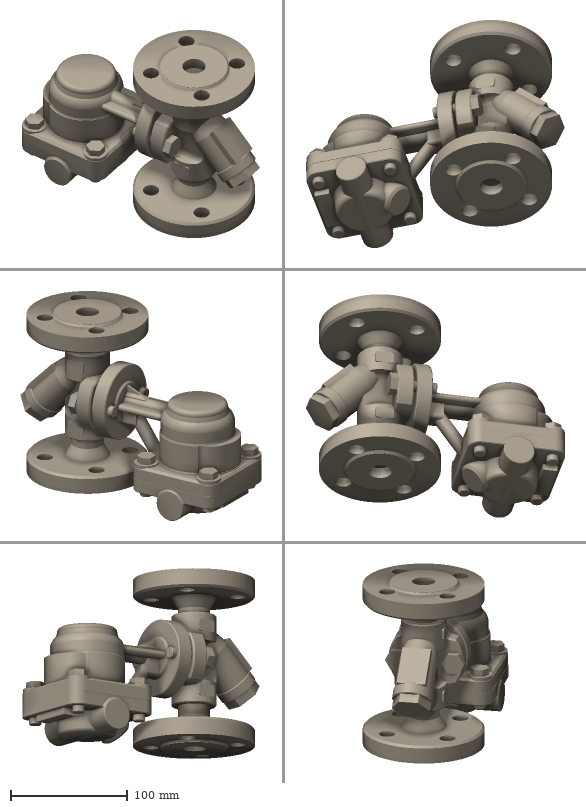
import cadquery as cq
import math


OVERALL_LENGTH = 219.12

FACE_TO_FACE = 150.0
PIPE_FLANGE_DIA = 105.0
PIPE_FLANGE_THICK = 18.0
RAISED_FACE_DIA = 58.0
RAISED_FACE_FOOT_DIA = 61.5
RAISED_FACE_HEIGHT = 2.3
RAISED_FACE_LIP = 0.3
FLANGE_CHAMFER = 2.0
FLANGE_HOLE_DIA = 14.0
FLANGE_HOLE_CIRCLE = 75.0
NECK_FOOT_DIA = 39.0
NECK_HEIGHT = 10.0
PIPE_DIA = 27.2
BORE_DIA = 20.0
BORE_DEPTH = 10.0

BODY_DIA = 39.0
BODY_TOP = 41.7
BODY_BOTTOM = -37.8
BODY_CHAMFER = 1.0
WAIST_TOP = 17.5
WAIST_BOTTOM = -17.7
WAIST_HALF_WIDTH = 10.3
WAIST_FILLET = 6.0
FLAT_WIDTH = 16.0
FLAT_HEIGHT = 10.4
FLAT_CORNER = 2.0
FLAT_CENTERS = (30.1, -26.8)

STRAINER_AXIS_Z = 29.3
PLUG_ACROSS_FLATS = 29.0
PLUG_HEIGHT = 8.0
RING_DIA = 35.0
RING_LENGTH = 9.5
RING_CHAMFER = 0.6
BRANCH_ROOT_DIA = 28.0
BRANCH_DIA = 33.0
BRANCH_LENGTH = 61.0
BRANCH_TAPER_LENGTH = 11.0
PAD_START = 17.0
PAD_LENGTH = 34.0
PAD_TOP = 16.6
PAD_HALF_WIDTH = 12.5

SIDE_FLANGE_DIA = 67.0
SIDE_FLANGE_LEFT = -39.5
SIDE_FLANGE_THICK = 13.4
SIDE_FLANGE_CHAMFER = 0.7
SPACER_DIA = 35.0
OVAL_LEFT = -23.5
OVAL_RIGHT = -9.0
OVAL_DIA = 66.0
OVAL_APEX = 23.0
OVAL_APEX_HALF_WIDTH = 13.0
OVAL_SHOULDER = 20.0
OVAL_CHAMFER = 1.2
SIDE_BOLT_OFFSET = 25.0
SIDE_BOLT_DIA = 10.0
SIDE_BOLT_LEFT = -44.2
SIDE_BOLT_ACROSS_FLATS = 17.0
SIDE_BOLT_HEAD = 6.5

HUB_FLARE_DIA = 38.0
HUB_LENGTH = 2.0
ARM_DIA = 15.0
WING_HALF_WIDTH = 16.5
WING_THICK = 6.0
WING_END = -42.0
RIB_LEFT = -62.0
RIB_TOP = 16.0
RIB_FOOT_THICK = 7.4
RIB_CREST_THICK = 2.4
RIB_FLARE_TOP = 10.0
BLOCK_LEFT = -54.8
BLOCK_TOP = -1.0
BLOCK_BOTTOM = -17.7
BLOCK_HALF_WIDTH = 8.0
BLOCK_CORNER = 3.0
DRAIN_DIA = 12.2
DRAIN_TOP = (-47.0, -5.3)
DRAIN_BOTTOM = (-77.0, -48.0)

TRAP_X = -113.0
COVER_SIZE = 85.5
COVER_TOP = -36.7
COVER_SPLIT = -49.0
COVER_BOTTOM = -60.6
COVER_EDGE = 2.0
BASE_EDGE = 0.7
BASE_SHIFT_Y = 0.4
BOLT_SPACING = 64.0
SEAT_DIA = 21.0
SEAT_TOP = -35.2
COVER_BOLT_ACROSS_FLATS = 14.0
COVER_BOLT_HEAD = 6.0
COVER_BOLT_DIA = 10.5
COVER_BOLT_END = -66.3
COVER_BOLT_CHAMFER = 0.6
DRUM_RADIUS = 33.5
DRUM_TOP = -11.0
DRUM_SHIFT_X = -0.9
DRUM_FOOT = 1.2
LOBE_FOOT_HEIGHT = 0.6
LOBE_REACH = 38.9
LOBE_ARC_END = (-33.5, 17.1)
LOBE_FLANK_END = (-21.0, 25.4)
LOBE_DRUM_POINT = (-18.6, 28.4)
LOBE_FLANK_RADIUS = 20.0
LOBE_BLEND_RADIUS = 3.0
LOBE_ROOT_X = -10.0
DOME_RADIUS = 32.0
DOME_FLARE_HEIGHT = 1.6
DOME_SHOULDER_Z = 0.3
DOME_SHOULDER_MID = (30.5, 4.8)
DOME_NECK = (27.3, 8.3)
CAP_FOOT_Z = 12.3
DOME_TOP = 17.2
CAP_RADIUS = 26.0
CAP_FILLET = 4.0

BOWL_TOP_RADIUS = 26.8
BOWL_BOTTOM_RADIUS = 24.0
BOWL_BOTTOM = -78.3
BOWL_FILLET = 4.0
LEDGE_LEFT = -152.0
LEDGE_RIGHT = -139.0
LEDGE_HALF_WIDTH = 20.0
LEDGE_BOTTOM = -66.3
STUB_DIA = 27.0
STUB_FLARE = 1.3
STUB_CHAMFER = 0.6
STUB_Z = -65.3
STUB_HALF_LENGTH = 44.5
PORT_FACE_DIA = 24.0
PORT_CENTER = (-81.2, -72.585)
PORT_LENGTH = 18.0
PORT_CHAMFER = 2.2


def disc_x(dia, x_start, x_end):
    """Cylinder along the side flange axis."""
    return cq.Workplane("YZ", origin=(x_start, 0, 0)).circle(dia / 2).extrude(x_end - x_start)


def hexagon_diameter(size):
    """Corner-to-corner diameter of a hexagon of the given width across flats."""
    return size / math.cos(math.pi / 6)


def inclined_plane(x, z):
    """Plane facing 45 degrees down towards +X; its local x axis is Y."""
    return cq.Workplane(cq.Plane(origin=(x, 0, z), xDir=(0, 1, 0), normal=(1, 0, -1)))


def pipe_flange():
    """Upper flange with welding neck, raised face, bolt holes and bore."""
    end = FACE_TO_FACE / 2
    back = end - PIPE_FLANGE_THICK
    front = end - RAISED_FACE_HEIGHT
    radius = PIPE_FLANGE_DIA / 2
    profile = (
        cq.Workplane("XZ")
        .moveTo(0, BODY_TOP - BODY_CHAMFER)
        .lineTo(PIPE_DIA / 2, BODY_TOP - BODY_CHAMFER)
        .lineTo(PIPE_DIA / 2, back - NECK_HEIGHT)
        .lineTo(NECK_FOOT_DIA / 2, back)
        .lineTo(radius - FLANGE_CHAMFER, back)
        .lineTo(radius, back + FLANGE_CHAMFER)
        .lineTo(radius, front)
        .lineTo(RAISED_FACE_FOOT_DIA / 2, front)
        .lineTo(RAISED_FACE_DIA / 2, end - RAISED_FACE_LIP)
        .lineTo(RAISED_FACE_DIA / 2, end)
        .lineTo(0, end)
        .close()
    )
    flange = profile.revolve(360, (0, 0, 0), (0, 1, 0))
    hole_pitch = FLANGE_HOLE_CIRCLE / math.sqrt(2)
    holes = (
        cq.Workplane(origin=(0, 0, back))
        .rect(hole_pitch, hole_pitch, forConstruction=True)
        .vertices()
        .circle(FLANGE_HOLE_DIA / 2)
        .extrude(PIPE_FLANGE_THICK)
    )
    bore = cq.Workplane(origin=(0, 0, end)).circle(BORE_DIA / 2).extrude(-BORE_DEPTH)
    return flange.cut(holes).cut(bore)


def lower_pipe_flange():
    """Mirrored flange, with a longer pipe up to the body."""
    flange = pipe_flange().mirror("XY")
    pipe_length = FACE_TO_FACE / 2 - PIPE_FLANGE_THICK + BODY_BOTTOM
    pipe = cq.Workplane(origin=(0, 0, BODY_BOTTOM - pipe_length + NECK_HEIGHT))
    pipe = pipe.circle(PIPE_DIA / 2).extrude(pipe_length)
    return flange.union(pipe)


def valve_body():
    """Round body with a flat-sided waist and raised flat pads on both collars."""
    body = cq.Workplane(origin=(0, 0, BODY_BOTTOM)).circle(BODY_DIA / 2)
    body = body.extrude(BODY_TOP - BODY_BOTTOM).edges().chamfer(BODY_CHAMFER)
    depth = BODY_DIA / 2 - WAIST_HALF_WIDTH
    waist_z = (WAIST_TOP + WAIST_BOTTOM) / 2
    for side in (1, -1):
        waist_cut = cq.Workplane(origin=(0, side * (WAIST_HALF_WIDTH + depth / 2), waist_z))
        waist_cut = waist_cut.box(BODY_DIA, depth, WAIST_TOP - WAIST_BOTTOM)
        inner_face = "<Y" if side > 0 else ">Y"
        waist_cut = waist_cut.faces(inner_face).edges("|X").fillet(WAIST_FILLET)
        body = body.cut(waist_cut)
        for z in FLAT_CENTERS:
            flat = (
                cq.Workplane("XZ", origin=(0, side * BODY_DIA / 2, z))
                .rect(FLAT_WIDTH, FLAT_HEIGHT)
                .extrude(side * BODY_DIA / 2)
                .edges("|Y")
                .fillet(FLAT_CORNER)
            )
            body = body.union(flat)
    return body


def strainer():
    """Tapered branch with a flat-sided pad, a ring and a hexagon plug."""
    tip_x = TRAP_X - COVER_SIZE / 2 + OVERALL_LENGTH - PLUG_ACROSS_FLATS / 2 * math.sqrt(0.5)
    plane = inclined_plane(tip_x, STRAINER_AXIS_Z - tip_x)
    plug = plane.polygon(6, hexagon_diameter(PLUG_ACROSS_FLATS))
    plug = plug.extrude(-PLUG_HEIGHT - RING_LENGTH)
    ring = plane.workplane(offset=-PLUG_HEIGHT).circle(RING_DIA / 2).extrude(-RING_LENGTH)
    ring = ring.edges().chamfer(RING_CHAMFER)
    branch = (
        plane.workplane(offset=-BRANCH_LENGTH)
        .circle(BRANCH_ROOT_DIA / 2)
        .workplane(offset=BRANCH_TAPER_LENGTH)
        .circle(BRANCH_DIA / 2)
        .loft()
    )
    barrel_length = BRANCH_LENGTH - BRANCH_TAPER_LENGTH - PLUG_HEIGHT
    barrel = plane.workplane(offset=-PLUG_HEIGHT).circle(BRANCH_DIA / 2).extrude(-barrel_length)
    pad = (
        plane.workplane(offset=-PAD_START)
        .center(0, PAD_TOP / 2)
        .rect(2 * PAD_HALF_WIDTH, PAD_TOP)
        .extrude(-PAD_LENGTH)
    )
    return branch.union(barrel).union(pad).union(ring).union(plug)


def oval_flange():
    """Round flange trimmed above and below to a shallow roof shape."""
    radius = OVAL_DIA / 2
    shoulder_y = math.sqrt(radius**2 - OVAL_SHOULDER**2)
    return (
        cq.Workplane("YZ", origin=(OVAL_LEFT, 0, 0))
        .moveTo(-OVAL_APEX_HALF_WIDTH, OVAL_APEX)
        .lineTo(OVAL_APEX_HALF_WIDTH, OVAL_APEX)
        .lineTo(shoulder_y, OVAL_SHOULDER)
        .threePointArc((radius, 0), (shoulder_y, -OVAL_SHOULDER))
        .lineTo(OVAL_APEX_HALF_WIDTH, -OVAL_APEX)
        .lineTo(-OVAL_APEX_HALF_WIDTH, -OVAL_APEX)
        .lineTo(-shoulder_y, -OVAL_SHOULDER)
        .threePointArc((-radius, 0), (-shoulder_y, OVAL_SHOULDER))
        .close()
        .extrude(OVAL_RIGHT - OVAL_LEFT)
        .faces("<X or >X")
        .edges()
        .chamfer(OVAL_CHAMFER)
    )


def side_joint():
    """Two side flanges, the spacer between them and their two bolts."""
    flange = disc_x(SIDE_FLANGE_DIA, SIDE_FLANGE_LEFT, SIDE_FLANGE_LEFT + SIDE_FLANGE_THICK)
    flange = flange.edges().chamfer(SIDE_FLANGE_CHAMFER)
    joint = flange.union(disc_x(SPACER_DIA, SIDE_FLANGE_LEFT, OVAL_RIGHT)).union(oval_flange())
    for y in (-SIDE_BOLT_OFFSET, SIDE_BOLT_OFFSET):
        shank = disc_x(SIDE_BOLT_DIA, SIDE_BOLT_LEFT, OVAL_RIGHT)
        shank = shank.faces("<X").edges().chamfer(SIDE_FLANGE_CHAMFER).translate((0, y, 0))
        head = (
            cq.Workplane("YZ", origin=(OVAL_RIGHT, y, 0))
            .polygon(6, hexagon_diameter(SIDE_BOLT_ACROSS_FLATS))
            .extrude(SIDE_BOLT_HEAD)
        )
        joint = joint.union(shank).union(head)
    return joint


def arm():
    """Tube with side wings, top rib, lower block and slanted drain tube."""
    hub = (
        cq.Workplane("YZ", origin=(SIDE_FLANGE_LEFT - HUB_LENGTH, 0, 0))
        .circle(SPACER_DIA / 2)
        .workplane(offset=HUB_LENGTH)
        .circle(HUB_FLARE_DIA / 2)
        .loft()
    )
    tube = disc_x(ARM_DIA, TRAP_X, SIDE_FLANGE_LEFT)
    wing = (
        cq.Workplane("YZ", origin=(TRAP_X, 0, 0))
        .slot2D(2 * WING_HALF_WIDTH, WING_THICK)
        .extrude(WING_END - TRAP_X)
    )
    rib = (
        cq.Workplane("XZ", origin=(0, RIB_FOOT_THICK / 2, 0))
        .moveTo(RIB_LEFT, 0)
        .lineTo(RIB_LEFT, ARM_DIA / 2)
        .lineTo(SIDE_FLANGE_LEFT - HUB_LENGTH, RIB_TOP)
        .lineTo(SIDE_FLANGE_LEFT, RIB_TOP)
        .lineTo(SIDE_FLANGE_LEFT, 0)
        .close()
        .extrude(RIB_FOOT_THICK)
    )
    rib_section = (
        cq.Workplane("YZ", origin=(RIB_LEFT, 0, 0))
        .moveTo(-RIB_FOOT_THICK / 2, 0)
        .lineTo(-RIB_FOOT_THICK / 2, ARM_DIA / 2)
        .lineTo(-RIB_CREST_THICK / 2, RIB_FLARE_TOP)
        .lineTo(-RIB_CREST_THICK / 2, RIB_TOP)
        .lineTo(RIB_CREST_THICK / 2, RIB_TOP)
        .lineTo(RIB_CREST_THICK / 2, RIB_FLARE_TOP)
        .lineTo(RIB_FOOT_THICK / 2, ARM_DIA / 2)
        .lineTo(RIB_FOOT_THICK / 2, 0)
        .close()
        .extrude(SIDE_FLANGE_LEFT - RIB_LEFT)
    )
    rib = rib.intersect(rib_section)
    block = (
        cq.Workplane("XZ", origin=(0, BLOCK_HALF_WIDTH, 0))
        .moveTo(BLOCK_LEFT, BLOCK_TOP)
        .lineTo(SIDE_FLANGE_LEFT, BLOCK_TOP)
        .lineTo(SIDE_FLANGE_LEFT, BLOCK_BOTTOM)
        .lineTo(BLOCK_LEFT, BLOCK_BOTTOM)
        .close()
        .extrude(2 * BLOCK_HALF_WIDTH)
        .edges("(|Y and <X) or (|X and <Z)")
        .fillet(BLOCK_CORNER)
    )
    run = DRAIN_BOTTOM[0] - DRAIN_TOP[0]
    drop = DRAIN_BOTTOM[1] - DRAIN_TOP[1]
    drain_plane = cq.Plane(origin=(DRAIN_TOP[0], 0, DRAIN_TOP[1]), xDir=(0, 1, 0), normal=(run, 0, drop))
    drain = cq.Workplane(drain_plane).circle(DRAIN_DIA / 2).extrude(math.hypot(run, drop))
    return hub.union(tube).union(wing).union(rib).union(block).union(drain)


def trap_drum():
    """Drum under the dome, widened at its foot and open on the side where the lobe joins."""
    radius = DRUM_RADIUS
    profile = (
        cq.Workplane("XZ", origin=(TRAP_X + DRUM_SHIFT_X, 0, 0))
        .moveTo(0, COVER_TOP)
        .lineTo(radius + DRUM_FOOT, COVER_TOP)
        .lineTo(radius, COVER_TOP + DRUM_FOOT)
        .lineTo(radius, DRUM_TOP)
        .lineTo(0, DRUM_TOP)
        .close()
    )
    drum = profile.revolve(360, (0, 0, 0), (0, 1, 0))
    lobe_side = cq.Workplane(origin=(TRAP_X + LOBE_DRUM_POINT[0] - radius, 0, 0))
    return drum.cut(lobe_side.box(2 * radius, 4 * radius, 4 * radius))


def mirrored(point):
    """Point on the other side of the X axis."""
    return (point[0], -point[1])


def lobe_outline():
    """Bulge on the -X side of the drum, relative to the trap axis."""
    return (
        cq.Workplane(origin=(TRAP_X, 0, COVER_TOP))
        .moveTo(LOBE_ROOT_X, LOBE_DRUM_POINT[1])
        .lineTo(*LOBE_DRUM_POINT)
        .radiusArc(LOBE_FLANK_END, LOBE_BLEND_RADIUS)
        .radiusArc(LOBE_ARC_END, -LOBE_FLANK_RADIUS)
        .threePointArc((-LOBE_REACH, 0), mirrored(LOBE_ARC_END))
        .radiusArc(mirrored(LOBE_FLANK_END), -LOBE_FLANK_RADIUS)
        .radiusArc(mirrored(LOBE_DRUM_POINT), LOBE_BLEND_RADIUS)
        .lineTo(LOBE_ROOT_X, -LOBE_DRUM_POINT[1])
        .close()
    )


def trap_lobe():
    """Lobe on a low step as wide as the foot of the drum."""
    foot = lobe_outline().offset2D(DRUM_FOOT).extrude(LOBE_FOOT_HEIGHT)
    return lobe_outline().extrude(DRUM_TOP - COVER_TOP).union(foot)


def trap_dome():
    """Turned dome with a stepped, rounded cap."""
    profile = (
        cq.Workplane("XZ", origin=(TRAP_X, 0, 0))
        .moveTo(0, DRUM_TOP)
        .lineTo(DRUM_RADIUS + DRUM_SHIFT_X, DRUM_TOP)
        .lineTo(DOME_RADIUS, DRUM_TOP + DOME_FLARE_HEIGHT)
        .lineTo(DOME_RADIUS, DOME_SHOULDER_Z)
        .threePointArc(DOME_SHOULDER_MID, DOME_NECK)
        .lineTo(CAP_RADIUS, CAP_FOOT_Z)
        .lineTo(CAP_RADIUS, DOME_TOP - CAP_FILLET)
        .radiusArc((CAP_RADIUS - CAP_FILLET, DOME_TOP), -CAP_FILLET)
        .lineTo(0, DOME_TOP)
        .close()
    )
    dome = profile.revolve(360, (0, 0, 0), (0, 1, 0))
    return dome.union(trap_drum()).union(trap_lobe())


def trap_cover():
    """Square bolted cover and base plates."""
    corner = (COVER_SIZE - BOLT_SPACING) / 2
    upper = cq.Workplane(origin=(TRAP_X, 0, COVER_SPLIT)).rect(COVER_SIZE, COVER_SIZE)
    upper = upper.extrude(COVER_TOP - COVER_SPLIT).edges("|Z").fillet(corner)
    upper = upper.faces(">Z").edges().chamfer(COVER_EDGE)
    lower = cq.Workplane(origin=(TRAP_X, BASE_SHIFT_Y, COVER_BOTTOM)).rect(COVER_SIZE, COVER_SIZE)
    lower = lower.extrude(COVER_SPLIT - COVER_BOTTOM).edges("|Z").fillet(corner)
    lower = lower.faces("<Z").edges().chamfer(BASE_EDGE)
    return upper.union(lower)


def cover_bolt():
    """Raised seat, hexagon head and shank end of one cover bolt."""
    seat = cq.Workplane(origin=(0, 0, COVER_SPLIT)).circle(SEAT_DIA / 2).extrude(SEAT_TOP - COVER_SPLIT)
    head = (
        cq.Workplane(origin=(0, 0, SEAT_TOP))
        .transformed(rotate=(0, 0, 90))
        .polygon(6, hexagon_diameter(COVER_BOLT_ACROSS_FLATS))
        .extrude(COVER_BOLT_HEAD)
    )
    shank = cq.Workplane(origin=(0, 0, COVER_BOLT_END)).circle(COVER_BOLT_DIA / 2)
    shank = shank.extrude(SEAT_TOP - COVER_BOLT_END).faces("<Z").edges().chamfer(COVER_BOLT_CHAMFER)
    return seat.union(head).union(shank)


def trap_base():
    """Bowl, ledge, crosswise stub pipe and the inclined port boss."""
    bowl = (
        cq.Workplane(origin=(TRAP_X, 0, COVER_BOTTOM))
        .circle(BOWL_TOP_RADIUS)
        .workplane(offset=BOWL_BOTTOM - COVER_BOTTOM)
        .circle(BOWL_BOTTOM_RADIUS)
        .loft()
        .faces("<Z")
        .edges()
        .fillet(BOWL_FILLET)
    )
    ledge = cq.Workplane(origin=(LEDGE_LEFT, -LEDGE_HALF_WIDTH, LEDGE_BOTTOM)).box(
        LEDGE_RIGHT - LEDGE_LEFT, 2 * LEDGE_HALF_WIDTH, COVER_BOTTOM - LEDGE_BOTTOM, centered=False
    )
    stub = cq.Workplane("XZ", origin=(TRAP_X, STUB_HALF_LENGTH, STUB_Z)).circle(STUB_DIA / 2)
    stub = stub.extrude(2 * STUB_HALF_LENGTH).edges().chamfer(STUB_CHAMFER)
    for side in (-1, 1):
        face_y = side * COVER_SIZE / 2 + BASE_SHIFT_Y
        flare = cq.Workplane("XZ", origin=(TRAP_X, face_y, STUB_Z))
        flare = (
            flare.circle(STUB_DIA / 2 + STUB_FLARE)
            .workplane(offset=-side * STUB_FLARE)
            .circle(STUB_DIA / 2)
            .loft()
        )
        plate_zone = cq.Workplane(origin=(TRAP_X, face_y, (COVER_SPLIT + COVER_BOTTOM) / 2))
        plate_zone = plate_zone.box(COVER_SIZE, COVER_SIZE, COVER_SPLIT - COVER_BOTTOM)
        stub = stub.union(flare.intersect(plate_zone))
    port = inclined_plane(*PORT_CENTER).circle(PORT_FACE_DIA / 2 + PORT_CHAMFER).extrude(-PORT_LENGTH)
    outer_face = cq.selectors.DirectionMinMaxSelector(cq.Vector(1, 0, -1), True)
    port = port.faces(outer_face).edges().chamfer(PORT_CHAMFER)
    return bowl.union(ledge).union(stub).union(port)


result = valve_body().union(pipe_flange()).union(lower_pipe_flange()).union(strainer())
result = result.union(side_joint()).union(arm())
result = result.union(trap_dome()).union(trap_cover()).union(trap_base())
for side_x in (-1, 1):
    for side_y in (-1, 1):
        bolt_position = (TRAP_X + side_x * BOLT_SPACING / 2, side_y * BOLT_SPACING / 2, 0)
        result = result.union(cover_bolt().translate(bolt_position))